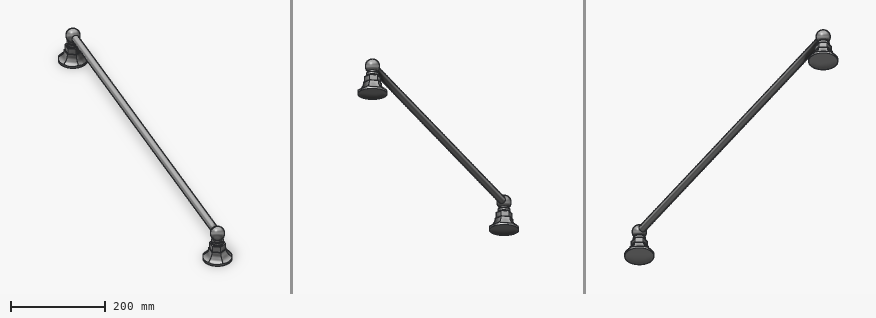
import cadquery as cq

overall_length = 875.0
foot_diameter = 62.0
overall_height = 79.0
foot_radius = foot_diameter / 2
post_offset = overall_length / 2 - foot_radius

ball_diameter = 31.0
ball_radius = ball_diameter / 2
rail_radius = 8.0
ball_height = overall_height - ball_radius

neck_radius = 10.0
collar_radius = 13.0
collar_seat_radius = 12.0
collar_bottom = 41.0
collar_top = 46.0

block_half_width = 15.0
block_top = 38.5
ledge_half_width = 17.0
ledge_height = 25.0
flare_mid_half_width = 19.0
flare_mid_height = 14.0
rim_height = 4.0


def flared_prism(angle):
    """Extrude the flat-to-flat profile, turned about the post axis."""
    profile = (
        cq.Workplane("YZ")
        .moveTo(-foot_radius, 0)
        .lineTo(foot_radius, 0)
        .lineTo(foot_radius, rim_height)
        .threePointArc((flare_mid_half_width, flare_mid_height), (ledge_half_width, ledge_height))
        .lineTo(block_half_width, ledge_height)
        .lineTo(block_half_width, block_top)
        .lineTo(-block_half_width, block_top)
        .lineTo(-block_half_width, ledge_height)
        .lineTo(-ledge_half_width, ledge_height)
        .threePointArc((-flare_mid_half_width, flare_mid_height), (-foot_radius, rim_height))
        .close()
    )
    prism = profile.extrude(foot_diameter, both=True)
    return prism.rotate((0, 0, 0), (0, 0, 1), angle)


def make_base():
    """Intersect three flared prisms and trim the foot to a circle."""
    base = cq.Workplane("XY").circle(foot_radius).extrude(block_top)
    for angle in (0, 60, 120):
        base = base.intersect(flared_prism(angle))
    return base


def disc(radius, bottom, top):
    """Return a solid cylinder on the post axis between two heights."""
    return cq.Workplane("XY").workplane(offset=bottom).circle(radius).extrude(top - bottom)


def make_post():
    """Stack the base, seat, collar, neck and ball on the Z axis."""
    seat = disc(collar_seat_radius, block_top, collar_bottom)
    collar = disc(collar_radius, collar_bottom, collar_top)
    neck = disc(neck_radius, collar_top, ball_height)
    ball = cq.Workplane("XY").sphere(ball_radius).translate((0, 0, ball_height))
    return make_base().union(seat).union(collar).union(neck).union(ball)


result = (
    cq.Workplane("YZ")
    .center(0, ball_height)
    .circle(rail_radius)
    .extrude(post_offset, both=True)
)

post = make_post()
for side in (-1, 1):
    result = result.union(post.translate((side * post_offset, 0, 0)))